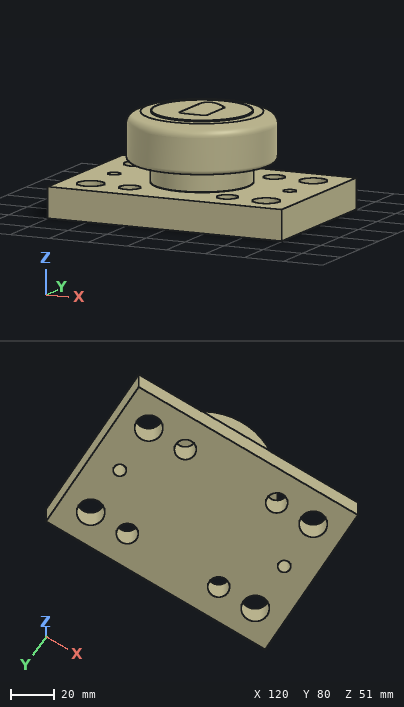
import cadquery as cq
import math

plate_length = 120.0
plate_width = plate_length * 2 / 3
plate_thickness = plate_length / 8
outer_hole_x = 45.0
inner_hole_x = outer_hole_x * 5 / 9
hole_row_y = inner_hole_x
bolt_hole_diameter = 13.0
inner_hole_diameter = 10.1
dowel_hole_diameter = 6.0

overall_height = 51.0
collar_diameter = 48.0
collar_chamfer = 0.4
collar_top_z = 25.0
core_diameter = 35.0
ring_diameter = 70.1
ring_bottom_z = 25.5
ring_bottom_fillet = 2.0
ring_shoulder_z = 43.1
ring_shoulder_radius = 4.3
ring_top_z = 48.5
ring_top_flat_diameter = 56.9
bevel_angle = math.radians(21)
cap_top_z = 49.1
cap_diameter = 47.3
cap_chamfer = 0.2

roller_radius = 14.3
roller_length = 21.8
roller_edge_fillet = 1.9


def make_plate():
    plate = cq.Workplane("XY").box(
        plate_length, plate_width, plate_thickness, centered=(True, True, False)
    )
    hole_groups = [
        (outer_hole_x, hole_row_y, bolt_hole_diameter),
        (inner_hole_x, hole_row_y, inner_hole_diameter),
    ]
    for x, y, diameter in hole_groups:
        plate = plate.faces(">Z").workplane(origin=(0, 0, plate_thickness))
        plate = plate.rect(2 * x, 2 * y, forConstruction=True).vertices().hole(diameter)
    plate = plate.faces(">Z").workplane(origin=(0, 0, plate_thickness))
    return plate.pushPoints([(-outer_hole_x, 0), (outer_hole_x, 0)]).hole(dowel_hole_diameter)


def disc(diameter, bottom_z, top_z):
    return cq.Workplane("XY").workplane(offset=bottom_z).circle(diameter / 2).extrude(top_z - bottom_z)


def make_ring():
    """Outer ring with a shoulder arc running tangentially into a conical bevel."""
    ring_radius = ring_diameter / 2
    top_flat_radius = ring_top_flat_diameter / 2
    arc_center_x = ring_radius - ring_shoulder_radius
    arc_sweep = math.pi / 2 - bevel_angle

    def arc_point(angle):
        return (
            arc_center_x + ring_shoulder_radius * math.cos(angle),
            ring_shoulder_z + ring_shoulder_radius * math.sin(angle),
        )

    ring = (
        cq.Workplane("XZ")
        .moveTo(0, ring_bottom_z)
        .lineTo(ring_radius, ring_bottom_z)
        .lineTo(ring_radius, ring_shoulder_z)
        .threePointArc(arc_point(arc_sweep / 2), arc_point(arc_sweep))
        .lineTo(top_flat_radius, ring_top_z)
        .lineTo(0, ring_top_z)
        .close()
        .revolve(360, (0, 0, 0), (0, 1, 0))
    )
    return ring.faces("<Z").edges().fillet(ring_bottom_fillet)


def make_side_roller():
    """Part of the side roller above the top of the ring."""
    roller = (
        cq.Workplane("XZ", origin=(0, 0, overall_height - roller_radius))
        .circle(roller_radius)
        .extrude(roller_length / 2, both=True)
        .faces("<Y or >Y")
        .edges()
        .fillet(roller_edge_fillet)
    )
    return roller.intersect(disc(cap_diameter, ring_top_z, overall_height))


def make_bearing():
    collar = disc(collar_diameter, plate_thickness, collar_top_z)
    collar = collar.faces("<Z or >Z").edges().chamfer(collar_chamfer)
    core = disc(core_diameter, collar_top_z, ring_bottom_z)
    cap = disc(cap_diameter, ring_top_z, cap_top_z)
    cap = cap.faces(">Z").edges().chamfer(cap_chamfer)
    return collar.union(core).union(make_ring()).union(cap).union(make_side_roller())


plate = make_plate()
bearing = make_bearing()
result = cq.Compound.makeCompound([plate.solids().val(), bearing.solids().val()])